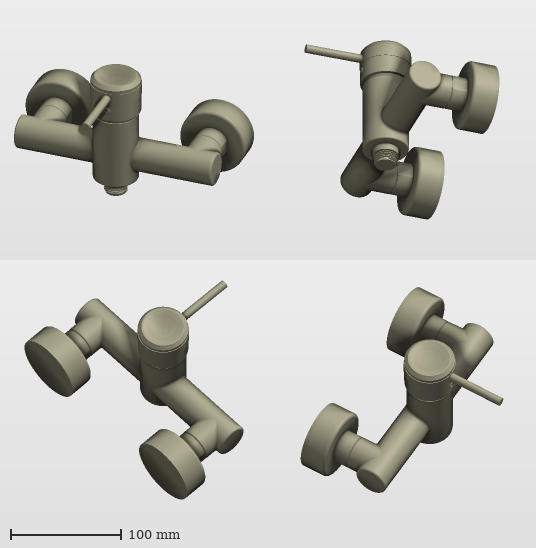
import cadquery as cq


arm_length = 190.8
arm_diameter = 30.9
arm_radius = arm_diameter / 2
arm_end_round = 2.0
hub_radius = 21.0
hub_y = -5.0
hub_bottom_z = -24.3
hub_top_z = 43.0
hub_bottom_round = 1.3
joint_round = 2.0
stub_end_y = 28.1
stub_end_round = 1.5

overall_length = 213
escutcheon_radius = 31.5
escutcheon_front_y = 42.5
wall_y = 67.0
escutcheon_round = 3.0
inlet_x = overall_length / 2 - escutcheon_radius

nut_radius = 15.3
nut_flat_width = 28.5
nut_chamfer = 0.9

neck_radius = 19.8
neck_top_z = 46.9

skirt_radius = 23.0
band_step = 0.53
band_radius = skirt_radius + band_step
band_bottom_z = 64.1
band_top_z = 75.6
handle_top_z = 82.0
cap_chamfer = 3.2
dish_radius = 18.3
dish_depth = 3.5
lever_radius = 3.8
lever_z = 70.0
lever_tip_y = -81.2
handle_turn = -0.6
button_radius = 3.0
button_z = 57.3
button_height = 0.6
button_chamfer = 0.5
button_recess_radius = 2.0
button_recess_depth = 0.5

collar_radius = 12.0
collar_bottom_z = -30.2
outlet_bottom_z = -40.0
thread_root_radius = 9.4
thread_crest_radius = 10.6
thread_pitch = 1.8
thread_root_half_width = 0.9
thread_crest_half_width = 0.2
thread_overlap = 0.2
thread_start_z = -38.5
thread_end_z = collar_bottom_z - thread_root_half_width


def disc(radius, bottom_z, top_z):
    """Upright cylinder on the hub axis."""
    return cq.Workplane("XY", origin=(0, hub_y, bottom_z)).circle(radius).extrude(top_z - bottom_z)


def barrel(x, radius, front_y, back_y):
    """Cylinder along Y, level with the arm axis."""
    return cq.Workplane("XZ", origin=(x, back_y, 0)).circle(radius).extrude(back_y - front_y)


def make_body():
    arm = cq.Workplane("YZ", origin=(-arm_length / 2, 0, 0)).circle(arm_radius).extrude(arm_length)
    arm = arm.faces("<X or >X").edges().fillet(arm_end_round)
    hub = disc(hub_radius, hub_bottom_z, hub_top_z).faces("<Z").edges().fillet(hub_bottom_round)
    body = arm.union(hub)
    for x in (-inlet_x, inlet_x):
        stub = barrel(x, arm_radius, 0, stub_end_y)
        stub = stub.faces(">Y").edges().fillet(stub_end_round)
        body = body.union(stub)
    joints = body.edges("not (%LINE or %CIRCLE)")
    return joints.fillet(joint_round)


def make_escutcheon(x):
    plate = barrel(x, escutcheon_radius, escutcheon_front_y, wall_y)
    return plate.faces("<Y").edges().fillet(escutcheon_round)


def make_nut(x):
    collar = barrel(x, nut_radius, stub_end_y, escutcheon_front_y)
    collar = collar.faces("<Y").edges().chamfer(nut_chamfer)
    length = escutcheon_front_y - stub_end_y
    flats = cq.Workplane("XY").box(nut_flat_width, length, 2 * nut_radius)
    return collar.intersect(flats.translate((x, stub_end_y + length / 2, 0)))


def make_neck():
    return disc(neck_radius, hub_top_z, neck_top_z)


def make_button():
    """Raised button at the front of the skirt, rooted inside it, with a shallow round recess."""
    front_y = hub_y - skirt_radius - button_height
    button = barrel(0, button_radius, front_y, hub_y).faces("<Y").edges().chamfer(button_chamfer)
    recess = barrel(0, button_recess_radius, front_y, front_y + button_recess_depth)
    return button.cut(recess).translate((0, 0, button_z))


def make_handle():
    skirt = disc(skirt_radius, neck_top_z, handle_top_z).faces(">Z").edges().chamfer(cap_chamfer)
    band = disc(band_radius, band_bottom_z, band_top_z)
    lever = barrel(0, lever_radius, lever_tip_y, hub_y).translate((0, 0, lever_z))
    handle = skirt.union(band).union(lever).union(make_button())
    dish_ball_radius = (dish_radius**2 + dish_depth**2) / (2 * dish_depth)
    dish_ball_z = handle_top_z - dish_depth + dish_ball_radius
    dish = cq.Workplane("XY").sphere(dish_ball_radius).translate((0, hub_y, dish_ball_z))
    return handle.cut(dish).rotate((0, hub_y, 0), (0, hub_y, 1), handle_turn)


def make_thread_ridge():
    """Right-handed helical ridge, its base buried slightly in the threaded core."""
    height = thread_end_z - thread_start_z
    helix = cq.Wire.makeHelix(thread_pitch, height, thread_root_radius)
    base_radius = thread_root_radius - thread_overlap
    profile = cq.Workplane("XZ").polyline([
        (base_radius, -thread_root_half_width),
        (thread_crest_radius, -thread_crest_half_width),
        (thread_crest_radius, thread_crest_half_width),
        (base_radius, thread_root_half_width),
    ]).close()
    ridge = profile.sweep(cq.Workplane(obj=helix), isFrenet=True)
    return ridge.translate((0, hub_y, thread_start_z))


def make_outlet():
    collar = disc(collar_radius, collar_bottom_z, hub_bottom_z)
    core = disc(thread_root_radius, outlet_bottom_z, collar_bottom_z)
    return collar.union(core).union(make_thread_ridge())


body = make_body()
neck = make_neck()
handle = make_handle()
outlet = make_outlet()
escutcheons = [make_escutcheon(x).val() for x in (-inlet_x, inlet_x)]
nuts = [make_nut(x).val() for x in (-inlet_x, inlet_x)]

result = cq.Compound.makeCompound(
    [body.val(), neck.val(), handle.val(), outlet.val(), *escutcheons, *nuts]
)